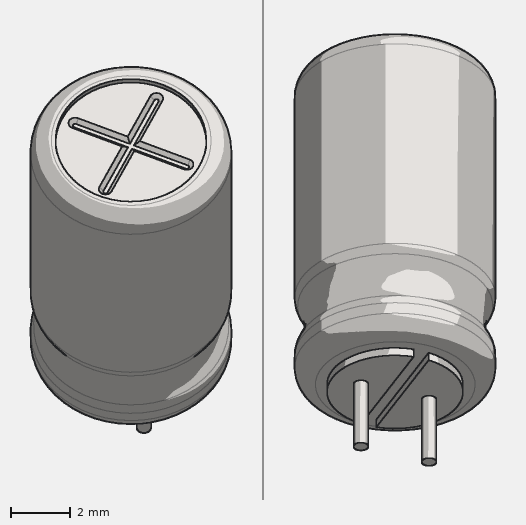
import cadquery as cq
import math


can_radius = 3.4
can_height = 12.2
edge_radius = 0.7
foot_height = 0.3
can_bottom = foot_height
can_top = can_bottom + can_height

crimp_height = 2.38
crimp_depth = 0.34
crimp_centre_height = 2.31
crimp_centre_z = can_bottom + crimp_centre_height
crimp_arc_radius = 1.59

recess_radius = 2.55
recess_depth = 0.2
recess_floor = can_top - recess_depth
vent_length = 4.6
vent_width = 0.45
vent_floor_width = 0.15
vent_depth = 0.15
vent_angles = (45, 135)

feet_radius = 2.3
feet_gap = 0.55

lead_radius = 0.25
lead_pitch = 2.5
lead_length = 2.5


def make_can_blank():
    """Revolve the outer profile of the can, with its rounded rims and crimp groove."""
    half_crimp = crimp_height / 2
    radius_sum = (crimp_depth**2 + half_crimp**2) / (2 * crimp_depth)
    blend_radius = radius_sum - crimp_arc_radius
    crimp_angle = math.asin(half_crimp / radius_sum)
    blend_x = can_radius - blend_radius * (1 - math.cos(crimp_angle))
    blend_rise = blend_radius * math.sin(crimp_angle)
    blend_mid_x = can_radius - blend_radius * (1 - math.cos(crimp_angle / 2))
    blend_mid_rise = blend_radius * math.sin(crimp_angle / 2)
    crimp_low = crimp_centre_z - half_crimp
    crimp_high = crimp_centre_z + half_crimp
    rim_inner = can_radius - edge_radius
    rim_mid = edge_radius * (1 - math.cos(math.pi / 4))

    profile = (
        cq.Workplane("XZ")
        .moveTo(0, can_bottom)
        .lineTo(rim_inner, can_bottom)
        .threePointArc((can_radius - rim_mid, can_bottom + rim_mid), (can_radius, can_bottom + edge_radius))
        .lineTo(can_radius, crimp_low)
        .threePointArc((blend_mid_x, crimp_low + blend_mid_rise), (blend_x, crimp_low + blend_rise))
        .threePointArc((can_radius - crimp_depth, crimp_centre_z), (blend_x, crimp_high - blend_rise))
        .threePointArc((blend_mid_x, crimp_high - blend_mid_rise), (can_radius, crimp_high))
        .lineTo(can_radius, can_top - edge_radius)
        .threePointArc((can_radius - rim_mid, can_top - rim_mid), (rim_inner, can_top))
        .lineTo(0, can_top)
        .close()
    )
    return profile.revolve(360, (0, 0), (0, 1))


def make_vent_slot(angle):
    """Round-ended slot with sloping walls, sunk into the recess floor."""
    taper = math.degrees(math.atan((vent_width - vent_floor_width) / 2 / vent_depth))
    return (
        cq.Workplane("XY", origin=(0, 0, recess_floor))
        .slot2D(vent_length, vent_width, angle)
        .extrude(-vent_depth, taper=taper)
    )


def make_feet():
    """Disc under the can, split into two feet by a gap along Y."""
    disc = cq.Workplane("XY").circle(feet_radius).extrude(foot_height)
    gap = cq.Workplane("XY").rect(feet_gap, 2 * feet_radius).extrude(foot_height)
    return disc.cut(gap)


def make_can():
    """Can with its recessed, cross-scored top and its standoff feet, as one solid."""
    can = make_can_blank()
    recess = cq.Workplane("XY", origin=(0, 0, recess_floor)).circle(recess_radius).extrude(recess_depth)
    can = can.cut(recess)
    for angle in vent_angles:
        can = can.cut(make_vent_slot(angle))
    return can.union(make_feet())


def make_lead(x):
    """Round wire lead that meets the underside of its foot."""
    return cq.Workplane("XY").center(x, 0).circle(lead_radius).extrude(-lead_length)


can = make_can()
lead_sides = (-1, 1)
leads = [make_lead(side * lead_pitch / 2) for side in lead_sides]

result = cq.Compound.makeCompound([can.val(), *[lead.val() for lead in leads]])